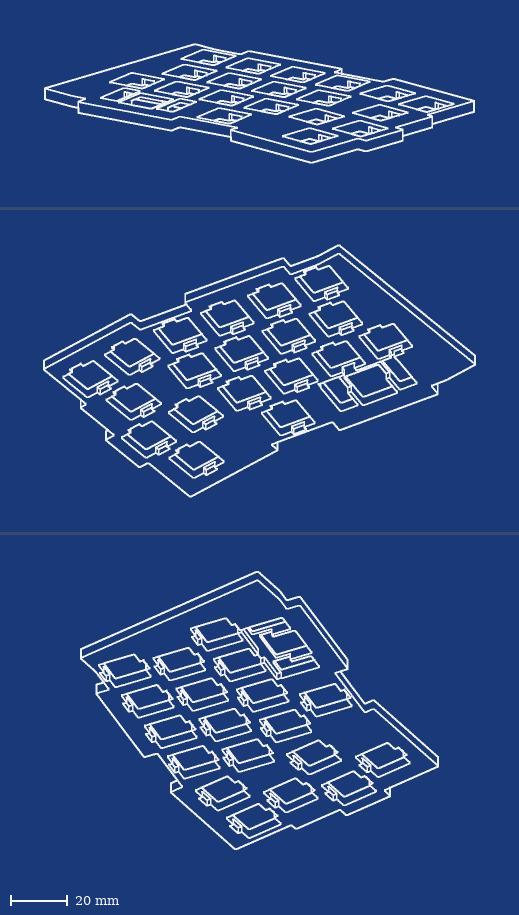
import cadquery as cq
import math

thickness = 4.0
key_pitch = 19.0
half_pitch = key_pitch / 2
tilt_degrees = 10.0
tilt = math.radians(tilt_degrees)

switch_size = 14.0
clip_wall = 1.5
notch_width = 5.0
notch_depth = 1.5
corner_radius = 0.5

top_row_v = 30.77
row_v = [top_row_v - row * key_pitch for row in range(4)]
first_row_u = 13.27
row_shift = key_pitch / 4
row_u = [first_row_u, first_row_u + row_shift, first_row_u - row_shift]
keys_per_row = 4
bottom_row_shift = 0.375 * key_pitch
wide_key_spacing = 1.75 * key_pitch
bottom_right_u = row_u[2] - bottom_row_shift
wide_key_u = bottom_right_u - wide_key_spacing

slot_width = 7.0
slot_length = 15.0
slot_offset_u = 11.93
slot_offset_v = 1.5
slot_v = row_v[3] + slot_offset_v
pocket_length = 9.0
pocket_inset = 0.2

right_top_y = 34.4
right_row_y = [right_top_y - row * key_pitch for row in range(4)]
corner_key_x = 47.02
stagger = 4.28
inner_key_x = 29.95
bottom_key_x = 45.1
upright_keys = [
    (corner_key_x - key_pitch, right_row_y[0]),
    (corner_key_x, right_row_y[0]),
    (corner_key_x - stagger, right_row_y[1]),
    (inner_key_x, right_row_y[2]),
    (corner_key_x + stagger, right_row_y[2]),
    (bottom_key_x, right_row_y[3]),
]

left_x = -63.315
left_top_y = 31.39
left_bottom_y = -45.08
outline_radius = 0.45
tab_height = 5.1
tab_width = 39.83
top_tab_u = -36.51
bottom_tab_u = -50.98
upright_left_top_x = 16.78
upright_left_bottom_x = 19.53
upright_top_y = 49.0
upright_bottom_y = -36.63
upright_side_x = 59.35
side_tab_x = -left_x
bend_radius = 11.4


def to_plate(u, v):
    """Plate coordinates of a point given in the tilted axes."""
    return (u * math.cos(tilt) - v * math.sin(tilt), u * math.sin(tilt) + v * math.cos(tilt))


def on_row_line_at_x(v, x):
    """Point at a given x on the tilted line of constant v."""
    return (x, x * math.tan(tilt) + v / math.cos(tilt))


def on_row_line_at_y(v, y):
    """Point at a given y on the tilted line of constant v."""
    return ((y - v / math.cos(tilt)) / math.tan(tilt), y)


def edge_at(x, y):
    """Selector for the upright edge through a corner of the outline."""
    return cq.selectors.NearestToPointSelector((x, y, thickness / 2))


def make_plate():
    """Solid plate with rounded corners, listed clockwise from the left end of the top side."""
    top_v = row_v[0] + half_pitch
    bottom_v = row_v[3] - half_pitch
    bend_top = on_row_line_at_y(top_v, left_top_y)
    bend_bottom = on_row_line_at_y(bottom_v, left_bottom_y)
    corner_side_x = corner_key_x + half_pitch
    corners = [
        (left_x, left_top_y),
        bend_top,
        to_plate(top_tab_u, top_v),
        to_plate(top_tab_u, top_v + tab_height),
        to_plate(top_tab_u + tab_width, top_v + tab_height),
        to_plate(top_tab_u + tab_width, top_v),
        on_row_line_at_x(top_v, upright_left_top_x),
        (upright_left_top_x, upright_top_y),
        (corner_side_x, upright_top_y),
        (corner_side_x, right_row_y[1] + half_pitch),
        (upright_side_x, right_row_y[1] + half_pitch),
        (upright_side_x, right_row_y[2] + half_pitch),
        (side_tab_x, right_row_y[2] + half_pitch),
        (side_tab_x, right_row_y[2] - half_pitch),
        (upright_side_x, right_row_y[2] - half_pitch),
        (upright_side_x, upright_bottom_y),
        (upright_left_bottom_x, upright_bottom_y),
        on_row_line_at_x(bottom_v, upright_left_bottom_x),
        to_plate(bottom_tab_u + tab_width, bottom_v),
        to_plate(bottom_tab_u + tab_width, bottom_v - tab_height),
        to_plate(bottom_tab_u, bottom_v - tab_height),
        to_plate(bottom_tab_u, bottom_v),
        bend_bottom,
        (left_x, left_bottom_y),
    ]
    plate = cq.Workplane("XY").polyline(corners).close().extrude(thickness)
    bend_selectors = [edge_at(*bend) for bend in (bend_top, bend_bottom)]
    sharp_edges = cq.StringSyntaxSelector("|Z") - (bend_selectors[0] + bend_selectors[1])
    plate = plate.edges(sharp_edges).fillet(outline_radius)
    for selector in bend_selectors:
        plate = plate.edges("|Z").edges(selector).fillet(bend_radius)
    return plate


def box_at(u, v, length, width, height):
    return cq.Workplane("XY").center(u, v).rect(length, width).extrude(height)


def rounded_opening(u, v, length, width):
    return box_at(u, v, length, width, thickness).edges("|Z").fillet(corner_radius)


def switch_cutter(u, v):
    """Square opening with a clip notch under the top skin on its two v sides."""
    notches = box_at(u, v, notch_width, switch_size + 2 * notch_depth, thickness - clip_wall)
    return rounded_opening(u, v, switch_size, switch_size).union(notches)


def stabilizer_cutter():
    """Wide-key opening, its two slots and the pocket that joins them from below."""
    cutter = rounded_opening(wide_key_u, row_v[3], switch_size, switch_size)
    for side in (-1, 1):
        slot_u = wide_key_u + side * slot_offset_u
        cutter = cutter.union(rounded_opening(slot_u, slot_v, slot_width, slot_length))
    pocket_width = 2 * slot_offset_u + slot_width - 2 * pocket_inset
    pocket_v = slot_v + pocket_length / 2
    pocket = box_at(wide_key_u, pocket_v, pocket_width, pocket_length, thickness - clip_wall)
    return cutter.union(pocket)


def tilted(cutter):
    return cutter.rotate((0, 0, 0), (0, 0, 1), tilt_degrees)


result = make_plate()
for right_u, v in zip(row_u, row_v):
    for key in range(keys_per_row):
        result = result.cut(tilted(switch_cutter(right_u - key * key_pitch, v)))
result = result.cut(tilted(switch_cutter(bottom_right_u, row_v[3])))
result = result.cut(tilted(stabilizer_cutter()))
for x, y in upright_keys:
    result = result.cut(switch_cutter(x, y))